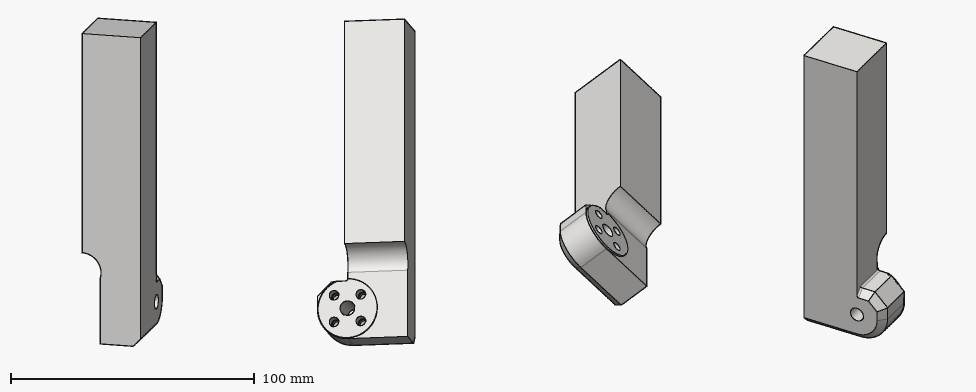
import cadquery as cq
import math

shank_width = 24.9
shank_thickness = 25.0
total_height = 131.6

head_radius = 12.6
head_top = 24.1
head_corner = 5.9
pivot_height = head_radius
back_chamfer = 3.2
root_fillet = 0.8

bed_depth = 7.6
groove_radius = 8.0
groove_height = 30.3

seat_radius = 12.4
seat_rise = 0.8

pivot_hole_diameter = 6.0
pin_hole_diameter = 4.0
pin_hole_depth = 5.3
pin_drill_diameter = 3.3
pin_drill_depth = 7.9
pin_circle_radius = 7.9
pin_count = 4
first_pin_angle = 45.0
drill_point_angle = 118.0

seat_x = bed_depth - seat_rise

margin = 0.1


def make_foot():
    """Lower block and head in one outline, chamfered round its +X edge."""
    diagonal = head_radius * math.sqrt(0.5)
    foot = (
        cq.Workplane("YZ", origin=(seat_x, 0, 0))
        .moveTo(-shank_thickness, 0)
        .lineTo(0, 0)
        .threePointArc((diagonal, pivot_height - diagonal), (head_radius, pivot_height))
        .lineTo(head_radius, head_top - head_corner)
        .lineTo(head_radius - head_corner, head_top)
        .lineTo(-shank_thickness, head_top)
        .close()
        .extrude(shank_width - seat_x)
    )
    chamfered_edges = cq.selectors.BoxSelector(
        (shank_width - margin, margin - shank_thickness, -margin),
        (shank_width + margin, head_radius + margin, head_top + margin),
    )
    return foot.faces(">X").edges(chamfered_edges).chamfer(back_chamfer)


def make_body():
    """Shank joined to the foot, with the inner corner above the head filleted."""
    shank = (
        cq.Workplane("XY", origin=(0, -shank_thickness, back_chamfer))
        .box(shank_width, shank_thickness, total_height - back_chamfer, centered=False)
    )
    body = shank.union(make_foot())
    root_edges = cq.selectors.BoxSelector(
        (seat_x - margin, -margin, head_top - back_chamfer),
        (shank_width - margin, margin, head_top + margin),
    )
    return body.edges(root_edges).fillet(root_fillet)


def make_bed_cutter():
    """Material removed from the -X side: everything around the seat, and the groove."""
    reach = 4 * shank_thickness
    slab = cq.Workplane("XY").box(bed_depth, reach, groove_height, centered=(False, True, False))
    seat = (
        cq.Workplane("YZ", origin=(seat_x, 0, 0))
        .center(0, pivot_height)
        .circle(seat_radius)
        .extrude(seat_rise)
    )
    groove = (
        cq.Workplane("XZ", origin=(0, 0, groove_height))
        .circle(groove_radius)
        .extrude(reach / 2, both=True)
    )
    return slab.cut(seat).union(groove)


def make_pin_hole():
    """Blind hole along +X: a wider bore, then a narrower drilling with a conical end."""
    bore_radius = pin_hole_diameter / 2
    drill_radius = pin_drill_diameter / 2
    point_length = drill_radius / math.tan(math.radians(drill_point_angle / 2))
    return (
        cq.Workplane("XY")
        .lineTo(0, bore_radius)
        .lineTo(pin_hole_depth, bore_radius)
        .lineTo(pin_hole_depth, drill_radius)
        .lineTo(pin_drill_depth, drill_radius)
        .lineTo(pin_drill_depth + point_length, 0)
        .close()
        .revolve(360, (0, 0, 0), (1, 0, 0))
    )


result = make_body().cut(make_bed_cutter())

pivot_hole = (
    cq.Workplane("YZ").center(0, pivot_height).circle(pivot_hole_diameter / 2).extrude(shank_width)
)
result = result.cut(pivot_hole)

for index in range(pin_count):
    angle = math.radians(first_pin_angle + index * 360 / pin_count)
    pin_y = pin_circle_radius * math.cos(angle)
    pin_z = pivot_height + pin_circle_radius * math.sin(angle)
    result = result.cut(make_pin_hole().translate((seat_x, pin_y, pin_z)))